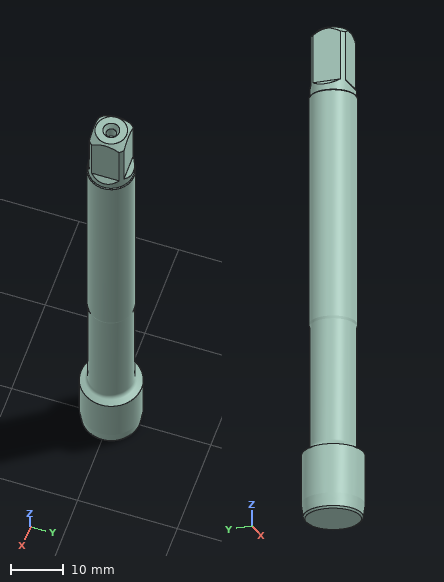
import cadquery as cq
import math

total_length = 100.0

head_diameter = 12.2
head_length = 13.0
lead_length = 2.9
lead_end_diameter = 11.5
tip_diameter = 10.8
tip_chamfer_height = 0.4

neck_diameter = 9.0
neck_fillet_radius = 1.0
shoulder_angle = 30.0

guide_diameter = 9.3
guide_bottom = 39.9
guide_top = 86.4
guide_bottom_taper = 0.5
guide_top_taper = 0.2

drive_diameter = 8.9
square_width = 7.0
square_length = 11.2
runout_angle = 45.0
end_diameter = 6.2

centre_mouth_diameter = 3.2
centre_diameter = 2.0
centre_depth = 3.5
countersink_angle = 60.0
drill_point_angle = 120.0


def cone_height(large_diameter, small_diameter, included_angle):
    """Height of a cone between two diameters."""
    return (large_diameter - small_diameter) / 2 / math.tan(math.radians(included_angle / 2))


def make_head():
    """Threaded head with a tapered lead and a chamfered tip."""
    return (
        cq.Workplane("XZ")
        .lineTo(tip_diameter / 2, 0)
        .lineTo(lead_end_diameter / 2, tip_chamfer_height)
        .lineTo(head_diameter / 2, lead_length)
        .lineTo(head_diameter / 2, head_length)
        .lineTo(0, head_length)
        .close()
        .revolve(360, (0, 0), (0, 1))
    )


def make_shank_blank():
    """Round shank from the shoulder on the head to the drive end."""
    neck_radius = neck_diameter / 2
    drive_radius = drive_diameter / 2
    end_chamfer = (drive_diameter - end_diameter) / 2
    slope = math.radians(shoulder_angle)

    fillet_centre_radius = neck_radius + neck_fillet_radius
    cone_top_radius = fillet_centre_radius - neck_fillet_radius * math.sin(slope)
    cone_top = head_length + (head_diameter / 2 - cone_top_radius) * math.tan(slope)
    fillet_top = cone_top + neck_fillet_radius * math.cos(slope)
    fillet_half_angle = (math.pi / 2 - slope) / 2
    fillet_middle = (
        fillet_centre_radius - neck_fillet_radius * math.cos(fillet_half_angle),
        fillet_top - neck_fillet_radius * math.sin(fillet_half_angle),
    )

    return (
        cq.Workplane("XZ")
        .moveTo(0, head_length)
        .lineTo(head_diameter / 2, head_length)
        .lineTo(cone_top_radius, cone_top)
        .threePointArc(fillet_middle, (neck_radius, fillet_top))
        .lineTo(neck_radius, guide_bottom - guide_bottom_taper)
        .lineTo(guide_diameter / 2, guide_bottom)
        .lineTo(guide_diameter / 2, guide_top)
        .lineTo(drive_radius, guide_top + guide_top_taper)
        .lineTo(drive_radius, total_length - end_chamfer)
        .lineTo(end_diameter / 2, total_length)
        .lineTo(0, total_length)
        .close()
        .revolve(360, (0, 0), (0, 1))
    )


def make_flat_cutter():
    """Cutter for one flat on the +X side, with a sloping run-out at its foot."""
    flat_x = square_width / 2
    outer_x = drive_diameter / 2
    runout_drop = (outer_x - flat_x) * math.tan(math.radians(runout_angle))
    foot = total_length - square_length
    return (
        cq.Workplane("XZ")
        .moveTo(flat_x, total_length)
        .lineTo(flat_x, foot)
        .lineTo(outer_x, foot - runout_drop)
        .lineTo(outer_x, total_length)
        .close()
        .extrude(drive_diameter / 2, both=True)
    )


def make_centre_hole():
    """Countersunk centre hole with a drill point, as a solid to cut away."""
    sink_depth = cone_height(centre_mouth_diameter, centre_diameter, countersink_angle)
    point_depth = cone_height(centre_diameter, 0, drill_point_angle)
    return (
        cq.Workplane("XZ")
        .moveTo(0, total_length)
        .lineTo(centre_mouth_diameter / 2, total_length)
        .lineTo(centre_diameter / 2, total_length - sink_depth)
        .lineTo(centre_diameter / 2, total_length - centre_depth)
        .lineTo(0, total_length - centre_depth - point_depth)
        .close()
        .revolve(360, (0, 0), (0, 1))
    )


def make_shank():
    """Shank with its square drive and centre hole."""
    shank = make_shank_blank().cut(make_centre_hole())
    flat_count = 4
    for index in range(flat_count):
        flat_angle = index * 360 / flat_count
        shank = shank.cut(make_flat_cutter().rotate((0, 0, 0), (0, 0, 1), flat_angle))
    return shank


head = make_head()
shank = make_shank()

result = cq.Compound.makeCompound([head.val(), shank.val()])